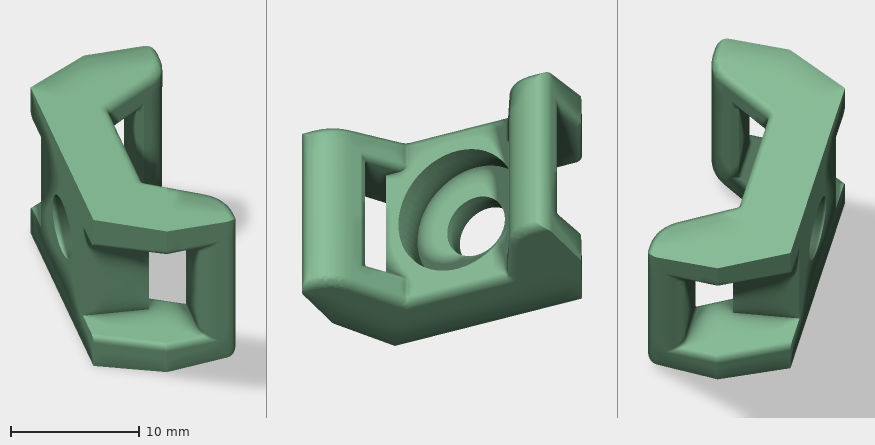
import cadquery as cq
import math

length = 22.0
height = 11.0
width = 15.0
draft_angle = 3.0

base_length = 16.6
knee_height = 5.16
floor_length = 9.0
cradle_angle = 60.0
cradle_corner_radius = 0.3
outer_tip_radius = 1.0
inner_tip_radius = 3.0
rim_fillet = 0.7

slot_width = 9.25
core_base_x = 5.52
core_top_x = 6.3
ceiling_height = 8.1
ceiling_inner_x = 6.55
ceiling_fillet = 1.33
slot_side_fillet = 0.5
slot_corner_fillet = 0.2

hole_diameter = 5.1
counterbore_diameter = 10.4
counterbore_floor_height = 2.05

half_length = length / 2
half_floor = floor_length / 2
half_base = base_length / 2
slot_inner_x = half_floor - cradle_corner_radius
margin = 1.0
tolerance = 0.01


def extrude_across(outline, total_width):
    """Extrude a closed XY outline symmetrically about Z = 0."""
    return outline.extrude(total_width / 2, both=True)


def arm_points():
    """Start, middle and end of the inner tip arc of the +X arm, from the cradle wall up."""
    slope = math.radians(cradle_angle)

    def on_arc(center_x, angle):
        x = center_x - inner_tip_radius * math.sin(angle)
        y = height - inner_tip_radius * (1 - math.cos(angle))
        return x, y

    wall_top_y = on_arc(0, slope)[1]
    wall_top_x = half_floor + (wall_top_y - knee_height) / math.tan(slope)
    center_x = wall_top_x + inner_tip_radius * math.sin(slope)
    return on_arc(center_x, slope), on_arc(center_x, slope / 2), on_arc(center_x, 0)


def cradle_prism():
    """Cradle profile with square outer tips, at full width."""
    wall_top, arc_middle, arc_end = arm_points()
    half = (
        cq.Workplane("XY")
        .lineTo(half_base, 0)
        .lineTo(half_length, knee_height)
        .lineTo(half_length, height)
        .lineTo(*arc_end)
        .threePointArc(arc_middle, wall_top)
        .lineTo(half_floor, knee_height)
        .lineTo(0, knee_height)
    )
    prism = extrude_across(half.mirrorY(), width)
    floor_corners = cq.selectors.BoxSelector(
        (-half_floor - tolerance, knee_height - tolerance, -tolerance),
        (half_floor + tolerance, knee_height + tolerance, tolerance),
    )
    return prism.edges("|Z").edges(floor_corners).fillet(cradle_corner_radius)


def tapered_block():
    """Block that gives the end faces their draft."""
    half_bottom = width / 2
    half_top = half_bottom - height * math.tan(math.radians(draft_angle))
    return (
        cq.Workplane("YZ")
        .polyline([(0, -half_bottom), (0, half_bottom), (height, half_top), (height, -half_top)])
        .close()
        .extrude(half_length, both=True)
    )


def tip_envelope():
    """Plain block with the two outer tip edges rounded."""
    block = cq.Workplane("XY").box(length, height, width).translate((0, height / 2, 0))
    return block.edges("|Z and >Y").fillet(outer_tip_radius)


def cradle_body():
    """Drafted cradle with rounded rims; the outer tips are rounded after the rims."""
    body = cradle_prism().intersect(tapered_block())
    rims = [
        edge
        for edge in body.faces("<Z or >Z").edges().vals()
        if edge.Center().y > knee_height - tolerance
        and abs(edge.Center().x) < half_length - tolerance
    ]
    return body.newObject(rims).fillet(rim_fillet).intersect(tip_envelope())


def slot_cutter(side):
    """Full-width cutter with the profile of one strap slot; the ceiling is rounded into the outer face."""
    outline = (
        cq.Workplane("XY")
        .moveTo(core_base_x, 0)
        .lineTo(core_top_x, knee_height)
        .lineTo(slot_inner_x, knee_height)
        .lineTo(slot_inner_x, height)
        .lineTo(ceiling_inner_x, height)
        .lineTo(ceiling_inner_x, ceiling_height)
        .lineTo(half_length - ceiling_fillet, ceiling_height)
        .radiusArc((half_length, ceiling_height + ceiling_fillet), -ceiling_fillet)
        .lineTo(half_length + margin, ceiling_height + ceiling_fillet)
        .lineTo(half_length + margin, 0)
        .close()
    )
    prism = extrude_across(outline, width)
    return prism if side > 0 else prism.mirror("YZ")


def arms_with_ceilings(body):
    """The core and the arm tips left by cutting both slot profiles across the whole width."""
    for side in (-1, 1):
        body = body.cut(slot_cutter(side))
    return body


def slot_edges(body):
    """Edges that lie in the side planes of the slots."""
    return [
        edge
        for edge in body.edges().vals()
        if abs(abs(edge.Center().z) - slot_width / 2) < tolerance
        and edge.BoundingBox().zlen < tolerance
    ]


def slot_side_walls(body):
    """The material beside the slots, with the outer edges of the slot sides rounded."""
    depth = half_length - slot_inner_x + margin
    opening = cq.Workplane("XY").box(depth, 2 * (height + margin), slot_width)
    for side in (-1, 1):
        body = body.cut(opening.translate((side * (slot_inner_x + depth / 2), 0, 0)))

    flank_middle_x = (half_base + half_length) / 2
    outer_edges = [
        edge
        for edge in slot_edges(body)
        if abs(edge.Center().x) > flank_middle_x - tolerance
        and edge.Center().y < height - outer_tip_radius
    ]
    return body.newObject(outer_edges).fillet(slot_side_fillet)


def round_ceiling_corners(body):
    """Fillet between the flat ceilings and the slot sides."""
    corners = [
        edge
        for edge in slot_edges(body)
        if abs(edge.Center().y - ceiling_height) < tolerance
        and edge.BoundingBox().ylen < tolerance
    ]
    return body.newObject(corners).fillet(slot_corner_fillet)


def screw_hole():
    """Through hole along Y, counterbored from the cradle side."""
    plane = cq.Workplane("XZ")
    hole = plane.circle(hole_diameter / 2).extrude(-height)
    counterbore = (
        plane.workplane(offset=-counterbore_floor_height)
        .circle(counterbore_diameter / 2)
        .extrude(counterbore_floor_height - height)
    )
    return hole.union(counterbore)


cradle = cradle_body()
slotted = arms_with_ceilings(cradle).union(slot_side_walls(cradle))
result = round_ceiling_corners(slotted).cut(screw_hole())